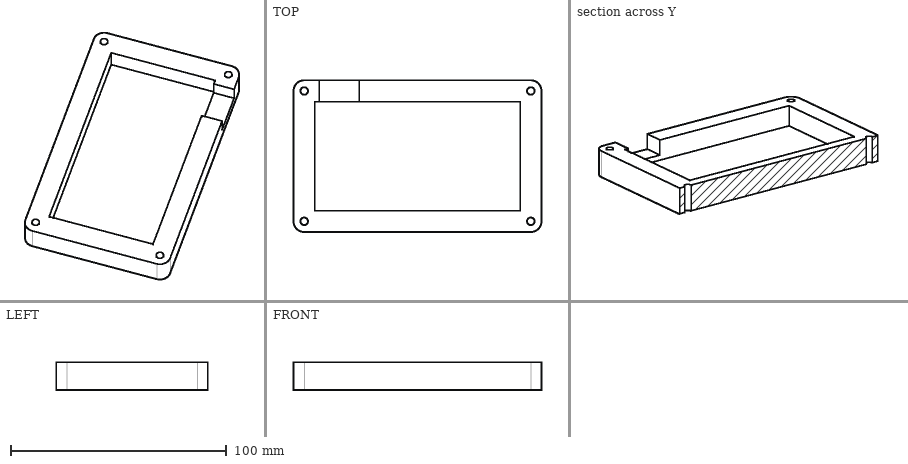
import cadquery as cq

LENGTH = 115.0
WIDTH = 70.4
HEIGHT = 13.0
CORNER_RADIUS = 5.0

END_WALL = 9.9
BACK_WALL = 9.9
FRONT_WALL = 10.0
FLOOR = 3.0
POCKET_LENGTH = LENGTH - 2 * END_WALL
POCKET_WIDTH = WIDTH - FRONT_WALL - BACK_WALL
POCKET_DEPTH = HEIGHT - FLOOR

NOTCH_INSET = 12.0
NOTCH_LENGTH = 18.4
NOTCH_DEPTH = 7.5

HOLE_DIAMETER = 3.4
HOLE_SPACING_X = LENGTH - 2 * CORNER_RADIUS
HOLE_SPACING_Y = WIDTH - 2 * CORNER_RADIUS


def make_block():
    block = cq.Workplane("XY").box(LENGTH, WIDTH, HEIGHT, centered=(True, True, False))
    return block.edges("|Z").fillet(CORNER_RADIUS)


def make_pocket():
    corner = (-LENGTH / 2 + END_WALL, -WIDTH / 2 + FRONT_WALL, FLOOR)
    pocket = cq.Workplane("XY").box(POCKET_LENGTH, POCKET_WIDTH, POCKET_DEPTH, centered=False)
    return pocket.translate(corner)


def make_notch():
    corner = (-LENGTH / 2 + NOTCH_INSET, WIDTH / 2 - BACK_WALL, HEIGHT - NOTCH_DEPTH)
    notch = cq.Workplane("XY").box(NOTCH_LENGTH, BACK_WALL, NOTCH_DEPTH, centered=False)
    return notch.translate(corner)


def make_corner_holes():
    return (
        cq.Workplane("XY")
        .rect(HOLE_SPACING_X, HOLE_SPACING_Y, forConstruction=True)
        .vertices()
        .circle(HOLE_DIAMETER / 2)
        .extrude(HEIGHT)
    )


result = make_block().cut(make_pocket()).cut(make_notch()).cut(make_corner_holes())